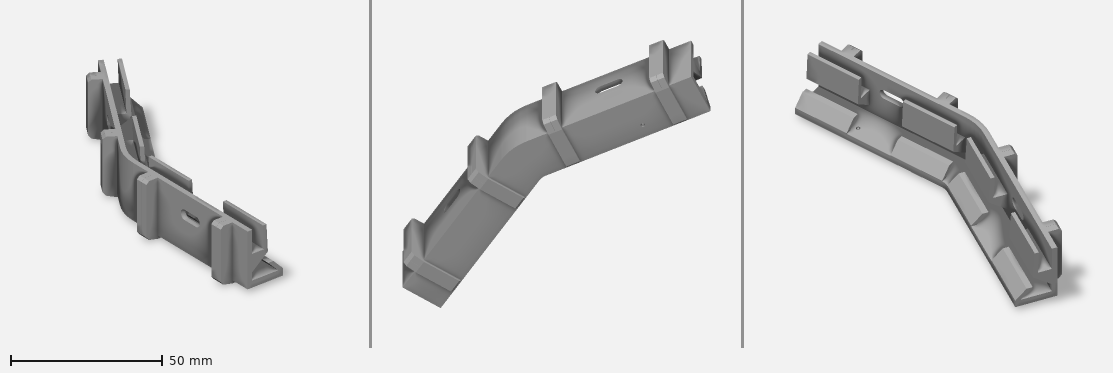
import cadquery as cq
import math

OVERALL_LENGTH = 121.6
BEND_ANGLE = 32.0
CLIP_LENGTH = 21.0
PLAIN_LENGTH = 18.0
LEG_LENGTH = 2 * CLIP_LENGTH + PLAIN_LENGTH

bend = math.radians(BEND_ANGLE)
BEND_RADIUS = (OVERALL_LENGTH - LEG_LENGTH * (1 + math.cos(bend))) / math.sin(bend)

HEIGHT = 21.9
WIDTH = 15.0
WALL = 2.0
FLOOR = 2.7

LIP_BASE_HEIGHT = 2.9
LIP_TOP = 6.9
LIP_OUTER_TOP = 11.0
LIP_INNER_TOP = 8.8
LIP_INNER_BASE = 13.0

RAMP_START = 5.8
SLAT_BASE_HEIGHT = 11.3
SLAT_OUTER_BASE = 8.6
SLAT_OUTER_TOP = 8.0
SLAT_INNER_BASE = 6.9
SLAT_INNER_TOP = 6.6
POCKET_FLOOR = 12.8

RIB_WIDTH = 5.0
RIB_DEPTH = 4.9
RIB_CHAMFER = 1.1
RIB_TOE_HEIGHT = 1.0
RIB_TOE_DROP = 0.4
FOOT_DROP = 1.2
FOOT_END = 14.3
FOOT_CHAMFER = 0.5
SLIT_WIDTH = 0.06

SLOT_LENGTH = 10.0
SLOT_HEIGHT = 3.9
SLOT_CENTRE_HEIGHT = 13.9

PIN_RADIUS = 0.4
PIN_HOLE_RADIUS = 0.7
PIN_FROM_SEGMENT_END = 1.5
PIN_INWARD = 10.5


def prism(outline, start, length):
    """Extrude a (Y, Z) outline along X."""
    return cq.Workplane("YZ", origin=(start, 0, 0)).polyline(outline).close().extrude(length)


def on_left_leg(solid):
    """Swing a segment lying on the negative X side around the bend axis."""
    return solid.rotate((0, BEND_RADIUS, 0), (0, BEND_RADIUS, 1), -BEND_ANGLE)


PLAIN_OUTLINE = [
    (0, 0),
    (WIDTH, 0),
    (WIDTH, FLOOR),
    (WALL, FLOOR),
    (WALL, HEIGHT),
    (0, HEIGHT),
]

CLIP_OUTLINE = [
    (0, 0),
    (WIDTH, 0),
    (WIDTH, LIP_BASE_HEIGHT),
    (LIP_OUTER_TOP, LIP_TOP),
    (LIP_INNER_TOP, LIP_TOP),
    (LIP_INNER_BASE, FLOOR),
    (WALL, FLOOR),
    (WALL, RAMP_START),
    (SLAT_OUTER_BASE, SLAT_BASE_HEIGHT),
    (SLAT_OUTER_TOP, HEIGHT),
    (SLAT_INNER_TOP, HEIGHT),
    (SLAT_INNER_BASE, POCKET_FLOOR),
    (WALL, POCKET_FLOOR),
    (WALL, HEIGHT),
    (0, HEIGHT),
]

RIB_OUTLINE = [
    (0, HEIGHT),
    (RIB_CHAMFER - RIB_DEPTH, HEIGHT),
    (-RIB_DEPTH, HEIGHT - RIB_CHAMFER),
    (-RIB_DEPTH, RIB_TOE_HEIGHT),
    (RIB_CHAMFER - RIB_DEPTH, -RIB_TOE_DROP),
    (0, -FOOT_DROP),
    (FOOT_END - FOOT_CHAMFER, -FOOT_DROP),
    (FOOT_END, FOOT_CHAMFER - FOOT_DROP),
    (FOOT_END, 0),
    (0, 0),
]


def clip_segment(start):
    """Segment with hooked lip, slat and a slit rib at its middle."""
    middle = start + CLIP_LENGTH / 2
    rib = prism(RIB_OUTLINE, middle - RIB_WIDTH / 2, RIB_WIDTH)
    slit = cq.Workplane("XY").box(
        SLIT_WIDTH, RIB_DEPTH, HEIGHT + FOOT_DROP, centered=(True, False, False)
    ).translate((middle, -RIB_DEPTH, -FOOT_DROP))
    return prism(CLIP_OUTLINE, start, CLIP_LENGTH).union(rib).clean().cut(slit)


def plain_segment(start):
    """L-shaped segment with a slot through its wall."""
    middle = start + PLAIN_LENGTH / 2
    slot = (
        cq.Workplane("XZ", origin=(middle, 0, SLOT_CENTRE_HEIGHT))
        .slot2D(SLOT_LENGTH, SLOT_HEIGHT)
        .extrude(-WALL)
    )
    return prism(PLAIN_OUTLINE, start, PLAIN_LENGTH).cut(slot)


def corner_segment():
    """L-shaped segment swept around the bend axis between the legs."""
    return (
        cq.Workplane("YZ")
        .polyline(PLAIN_OUTLINE)
        .close()
        .revolve(BEND_ANGLE, (BEND_RADIUS, 0, 0), (BEND_RADIUS, -1, 0))
    )


def floor_cylinder(radius):
    """Upright cylinder through the floor at the pin's place on the right leg."""
    x = CLIP_LENGTH + PLAIN_LENGTH - PIN_FROM_SEGMENT_END
    return cq.Workplane("XY").center(x, PIN_INWARD).circle(radius).extrude(FLOOR)


right_clips = [clip_segment(start) for start in (0, CLIP_LENGTH + PLAIN_LENGTH)]
left_clips = [on_left_leg(clip_segment(start)) for start in (-CLIP_LENGTH, -LEG_LENGTH)]
right_plain = plain_segment(CLIP_LENGTH).cut(floor_cylinder(PIN_HOLE_RADIUS))
left_plain = on_left_leg(plain_segment(-CLIP_LENGTH - PLAIN_LENGTH))
corner = corner_segment()
pin = floor_cylinder(PIN_RADIUS)

segments = [*right_clips, *left_clips, right_plain, left_plain, corner]
result = cq.Compound.makeCompound([*[segment.val() for segment in segments], pin.val()])